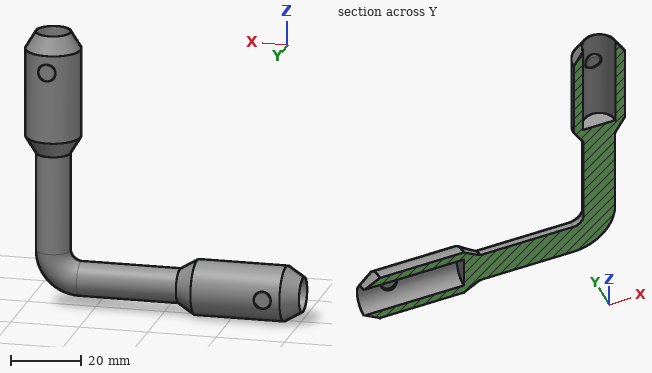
import cadquery as cq

overall_size = 81.0
rod_radius = 5.0
bend_radius = 8.0

socket_radius = 8.0
socket_length = 36.0
socket_taper_length = 5.0
bore_radius = rod_radius
bore_depth = socket_length - socket_taper_length

screw_radius = 2.5
z_screw_length = 3.9
x_screw_length = 3.5
outer_rim_fillet = 0.3
inner_rim_fillet = 0.6
screw_protrusion = 0.26
screw_outer_y = socket_radius + screw_protrusion
screw_from_mouth = 10.0

arm_length = overall_size - socket_radius


def make_rod():
    """Round rod swept from one socket mouth, around the bend, to the other."""
    path = (
        cq.Workplane("XZ")
        .moveTo(-arm_length, 0)
        .lineTo(-bend_radius, 0)
        .tangentArcPoint((0, bend_radius), relative=False)
        .lineTo(0, arm_length)
    )
    return cq.Workplane("YZ", origin=(-arm_length, 0, 0)).circle(rod_radius).sweep(path)


def make_socket_blank():
    """Solid socket on the Z arm, tapered to the rod radius at both ends."""
    base_z = arm_length - socket_length
    return (
        cq.Workplane("XZ")
        .moveTo(0, base_z)
        .lineTo(rod_radius, base_z)
        .lineTo(socket_radius, base_z + socket_taper_length)
        .lineTo(socket_radius, arm_length - socket_taper_length)
        .lineTo(rod_radius, arm_length)
        .lineTo(0, arm_length)
        .close()
        .revolve(360, (0, 0), (0, 1))
    )


def make_bore():
    """Blind bore on the Z arm, open at the socket mouth."""
    floor_z = arm_length - bore_depth
    return cq.Workplane("XY", origin=(0, 0, floor_z)).circle(bore_radius).extrude(bore_depth)


def make_screw_cylinder(length):
    """Cylinder on the Z arm, reaching inward along Y from the outer face of the screw."""
    screw_z = arm_length - screw_from_mouth
    return (
        cq.Workplane("XZ", origin=(0, screw_outer_y, screw_z))
        .circle(screw_radius)
        .extrude(length)
    )


def make_screw(length):
    """Set screw on the Z arm, with its two end rims rounded."""
    return (
        make_screw_cylinder(length)
        .faces(">Y").edges().fillet(outer_rim_fillet)
        .faces("<Y").edges().fillet(inner_rim_fillet)
    )


def turn_to_x_arm(shape):
    """Turn a shape built on the Z arm onto the X arm."""
    return shape.rotate((0, 0, 0), (0, 1, 0), -90)


socket_blank = make_socket_blank()
elbow = make_rod().union(socket_blank).union(turn_to_x_arm(socket_blank))
for cutter in (make_bore(), make_screw_cylinder(screw_outer_y)):
    elbow = elbow.cut(cutter).cut(turn_to_x_arm(cutter))

z_screw = make_screw(z_screw_length)
x_screw = turn_to_x_arm(make_screw(x_screw_length))

result = cq.Compound.makeCompound([elbow.val(), z_screw.val(), x_screw.val()])